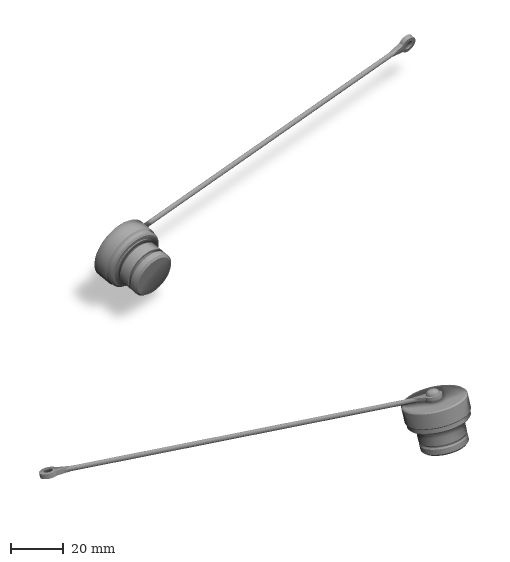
import cadquery as cq

overall_length = 166.5
cap_length = 24.0
flange_radius = 13.0
shoulder_radius = 12.5
lip_radius = 10.2
plug_radius = 9.5
neck_radius = 8.5

cap_face = 4.0
flange_end = 10.7
shoulder_end = 13.5
lip_end = 13.8
band_start = 15.0
band_end = 19.5
nose_start = 20.5
edge_chamfer = 0.5
shoulder_chamfer = 0.7
nose_chamfer = 0.8

rivet_head_radius = 2.7
rivet_head_height = 2.0

cord_diameter = cap_face - rivet_head_height
eye_radius = 3.5
eye_hole_radius = 1.8
taper_start = 1.5
taper_end = 4.8
taper_start_half_width = 2.0
taper_end_half_width = 0.5
far_eye_y = overall_length - flange_radius - eye_radius


def make_cap():
    """Revolve the flange, shoulder, neck, band and nose about X."""
    profile = (
        cq.Workplane("XY")
        .moveTo(cap_face, 0)
        .lineTo(cap_face, flange_radius - edge_chamfer)
        .lineTo(cap_face + edge_chamfer, flange_radius)
        .lineTo(flange_end, flange_radius)
        .lineTo(flange_end + edge_chamfer, shoulder_radius)
        .lineTo(shoulder_end - shoulder_chamfer, shoulder_radius)
        .lineTo(shoulder_end, shoulder_radius - shoulder_chamfer)
        .lineTo(shoulder_end, lip_radius)
        .lineTo(lip_end, lip_radius)
        .lineTo(lip_end, neck_radius)
        .lineTo(band_start - edge_chamfer, neck_radius)
        .lineTo(band_start, neck_radius + edge_chamfer)
        .lineTo(band_start, plug_radius)
        .lineTo(band_end, plug_radius)
        .lineTo(band_end, neck_radius)
        .lineTo(nose_start, neck_radius)
        .lineTo(nose_start, plug_radius - edge_chamfer)
        .lineTo(nose_start + edge_chamfer, plug_radius)
        .lineTo(cap_length - nose_chamfer, plug_radius)
        .lineTo(cap_length, plug_radius - nose_chamfer)
        .lineTo(cap_length, 0)
        .close()
    )
    return profile.revolve(360, (0, 0, 0), (1, 0, 0))


def make_rivet():
    """Domed head on a shank that fills the near eye and meets the cap."""
    profile = (
        cq.Workplane("XY")
        .moveTo(0, 0)
        .spline(
            [(rivet_head_height, rivet_head_radius)],
            tangents=[(0, 1), (1, 0)],
            includeCurrent=True,
        )
        .lineTo(rivet_head_height, eye_hole_radius)
        .lineTo(cap_face, eye_hole_radius)
        .lineTo(cap_face, 0)
        .close()
    )
    return profile.revolve(360, (0, 0, 0), (1, 0, 0))


def make_eye(center_y, cord_side):
    """Flat ring with a taper toward the cord; cord_side is +1 or -1 along Y."""
    plane = cq.Workplane("YZ", origin=(rivet_head_height, center_y, 0))
    ring = plane.circle(eye_radius).extrude(cord_diameter)
    taper = plane.polyline([
        (0, -taper_start_half_width),
        (cord_side * taper_start, -taper_start_half_width),
        (cord_side * taper_end, -taper_end_half_width),
        (cord_side * taper_end, taper_end_half_width),
        (cord_side * taper_start, taper_start_half_width),
        (0, taper_start_half_width),
    ]).close().extrude(cord_diameter)
    hole = plane.circle(eye_hole_radius).extrude(cord_diameter)
    return ring.union(taper).cut(hole)


def make_cord():
    """Round cord running between the two eyes."""
    cord_axis_x = rivet_head_height + cord_diameter / 2
    start_y = eye_radius
    length = far_eye_y - eye_radius - start_y
    return (
        cq.Workplane("XZ", origin=(cord_axis_x, start_y, 0))
        .circle(cord_diameter / 2)
        .extrude(-length)
    )


result = (
    make_cap()
    .union(make_eye(0, 1.7))
    .union(make_rivet())
    .union(make_eye(far_eye_y, -1.7))
    .union(make_cord())
)